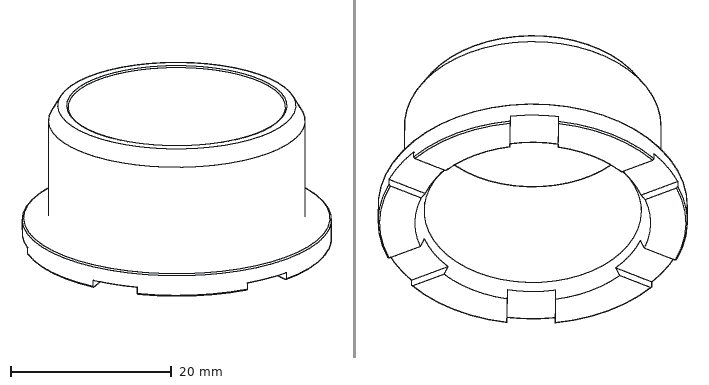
import cadquery as cq

flange_radius = 19.25
total_height = 18.0
flange_height = 3.0
sleeve_radius = 15.98
bore_radius = 13.5

lead_in_height = 2.0
lead_in_width = 1.15
root_fillet = 0.5
edge_chamfer = 0.2

slot_count = 6
slot_width = 6.0
slot_depth = 1.0


def flanged_sleeve():
    """Half section of the flanged sleeve revolved about Z."""
    return (
        cq.Workplane("XZ")
        .moveTo(bore_radius + lead_in_width, 0)
        .lineTo(flange_radius - edge_chamfer, 0)
        .lineTo(flange_radius, edge_chamfer)
        .lineTo(flange_radius, flange_height - edge_chamfer)
        .lineTo(flange_radius - edge_chamfer, flange_height)
        .lineTo(sleeve_radius + root_fillet, flange_height)
        .radiusArc((sleeve_radius, flange_height + root_fillet), root_fillet)
        .lineTo(sleeve_radius, total_height - lead_in_height)
        .lineTo(sleeve_radius - lead_in_width, total_height)
        .lineTo(bore_radius + edge_chamfer, total_height)
        .lineTo(bore_radius, total_height - edge_chamfer)
        .lineTo(bore_radius, lead_in_height)
        .close()
        .revolve(360, (0, 0, 0), (0, 1, 0))
    )


def bottom_slots():
    """Straight bars through the centre, each cutting two opposite slots."""
    bar = cq.Workplane("XY").box(
        slot_width, 2 * flange_radius, slot_depth, centered=(True, True, False)
    )
    bars = bar
    for index in range(1, slot_count // 2):
        bars = bars.union(bar.rotate((0, 0, 0), (0, 0, 1), index * 360 / slot_count))
    return bars


result = flanged_sleeve().cut(bottom_slots())